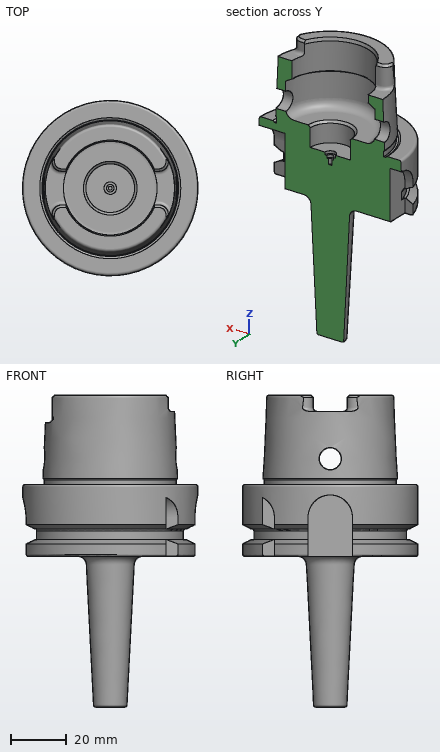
import cadquery as cq
import math

TOTAL_HEIGHT = 112.0

FLANGE_RADIUS = 31.5
FLANGE_TOP = 80.0
FLANGE_BOTTOM = 54.1
FLANGE_TOP_ROUND = 1.0
FLANGE_BOTTOM_ROUND = 0.8

GROOVE_CENTER = 62.0
GROOVE_FLOOR_RADIUS = 27.4
GROOVE_LIP_RADIUS = 28.5
GROOVE_FLOOR_HEIGHT = 3.8
GROOVE_MOUTH_HEIGHT = 7.0
GROOVE_CORNER_ROUND = 0.7

SHANK_TOP_RADIUS = 22.8
SHANK_BASE_RADIUS = 24.2
SHANK_BASE = 82.1
SHANK_TOP_ROUND = 1.0
NECK_RADIUS = 23.7
NECK_TOP = 81.5
RELIEF_DEPTH = 0.6
RELIEF_FLOOR_RADIUS = 24.5
RELIEF_OUTER_RADIUS = 25.3

STEM_TIP_RADIUS = 6.0
STEM_TOP_RADIUS = 8.6
STEM_TOP = 51.2
STEM_FLARE_RADIUS = 11.6
STEM_TIP_ROUND = 0.9

BORE_RADIUS = 16.8
BORE_MOUTH_RADIUS = 17.2
BORE_MOUTH_DEPTH = 1.3
CLAMP_EDGE = 98.8
UNDERCUT_RADIUS = 19.7
CLAMP_ANGLE = 30.0
BORE_FLOOR = 82.7
BORE_FLOOR_ROUND = 3.8
POCKET_RADIUS = 8.7
POCKET_MOUTH_RADIUS = 9.6
POCKET_FLOOR = 73.9
CENTER_HOLE_STEPS = [(2.2, 72.8), (1.3, 71.7), (0.7, 69.4)]

SLOT_HALF_WIDTH = 6.0
SLOT_CORNER_RADIUS = 3.4
SLOT_REACH = 20.8
SLOT_FLOOR_ROUND = 1.3
SLOT_FLOOR_LEFT = 102.1
SLOT_FLOOR_RIGHT = 106.2
SLOT_EDGE_CHAMFER = 0.9
SLOT_START = 11.2
SLOT_FLARE_ANGLE = 32.0

CROSS_HOLE_RADIUS = 3.9
CROSS_HOLE_HEIGHT = 89.2

KEY_LEFT_RADIUS = 9.0
KEY_LEFT_CENTER = 66.4
KEY_LEFT_DISTANCE = 26.5
KEY_RIGHT_RADIUS = 8.0
KEY_RIGHT_CENTER = 68.2
KEY_RIGHT_DISTANCE = 20.0

NOTCH_DISTANCE = KEY_RIGHT_DISTANCE
FLAT_DIRECTION = 135.0
FLAT_DISTANCE = 29.8
FLAT_BOTTOM = 70.1
FLAT_HEIGHT = 6.2

CLEAR = 44.8
ARC_MID = 1 - math.sqrt(0.5)


def turned_body():
    """Revolved outline: stem, flange with groove, relief and shank."""
    flare = STEM_FLARE_RADIUS - STEM_TOP_RADIUS
    flare_mid = flare * ARC_MID
    floor_half = GROOVE_FLOOR_HEIGHT / 2
    mouth_half = GROOVE_MOUTH_HEIGHT / 2
    corner = GROOVE_CORNER_ROUND * ARC_MID
    tip = STEM_TIP_ROUND * ARC_MID
    low = FLANGE_BOTTOM_ROUND * ARC_MID
    high = FLANGE_TOP_ROUND * ARC_MID
    outline = (
        cq.Workplane("XZ")
        .moveTo(0, 0)
        .lineTo(STEM_TIP_RADIUS - STEM_TIP_ROUND, 0)
        .threePointArc((STEM_TIP_RADIUS - tip, tip), (STEM_TIP_RADIUS, STEM_TIP_ROUND))
        .lineTo(STEM_TOP_RADIUS, STEM_TOP)
        .threePointArc(
            (STEM_TOP_RADIUS + flare_mid, FLANGE_BOTTOM - flare_mid),
            (STEM_FLARE_RADIUS, FLANGE_BOTTOM),
        )
        .lineTo(FLANGE_RADIUS - FLANGE_BOTTOM_ROUND, FLANGE_BOTTOM)
        .threePointArc(
            (FLANGE_RADIUS - low, FLANGE_BOTTOM + low),
            (FLANGE_RADIUS, FLANGE_BOTTOM + FLANGE_BOTTOM_ROUND),
        )
        .lineTo(FLANGE_RADIUS, GROOVE_CENTER - mouth_half)
        .lineTo(GROOVE_LIP_RADIUS, GROOVE_CENTER - floor_half)
        .lineTo(GROOVE_FLOOR_RADIUS, GROOVE_CENTER - floor_half)
        .lineTo(GROOVE_FLOOR_RADIUS, GROOVE_CENTER + floor_half - GROOVE_CORNER_ROUND)
        .threePointArc(
            (GROOVE_FLOOR_RADIUS + corner, GROOVE_CENTER + floor_half - corner),
            (GROOVE_FLOOR_RADIUS + GROOVE_CORNER_ROUND, GROOVE_CENTER + floor_half),
        )
        .lineTo(GROOVE_LIP_RADIUS, GROOVE_CENTER + floor_half)
        .lineTo(FLANGE_RADIUS, GROOVE_CENTER + mouth_half)
        .lineTo(FLANGE_RADIUS, FLANGE_TOP - FLANGE_TOP_ROUND)
        .threePointArc(
            (FLANGE_RADIUS - high, FLANGE_TOP - high),
            (FLANGE_RADIUS - FLANGE_TOP_ROUND, FLANGE_TOP),
        )
        .lineTo(RELIEF_OUTER_RADIUS, FLANGE_TOP)
        .lineTo(RELIEF_FLOOR_RADIUS, FLANGE_TOP - RELIEF_DEPTH)
        .lineTo(NECK_RADIUS, FLANGE_TOP - RELIEF_DEPTH)
        .lineTo(NECK_RADIUS, NECK_TOP)
        .lineTo(SHANK_BASE_RADIUS, SHANK_BASE)
        .lineTo(SHANK_TOP_RADIUS, TOTAL_HEIGHT)
        .lineTo(0, TOTAL_HEIGHT)
        .close()
    )
    body = outline.revolve(360, (0, 0, 0), (0, 1, 0))
    return body.faces(">Z").edges().fillet(SHANK_TOP_ROUND)


def clamping_bore():
    """Revolved cutter: mouth, undercut chamber, pocket and stepped center hole."""
    clamp_run = (UNDERCUT_RADIUS - BORE_RADIUS) * math.tan(math.radians(CLAMP_ANGLE))
    floor_mid = BORE_FLOOR_ROUND * ARC_MID
    outline = (
        cq.Workplane("XZ")
        .moveTo(0, TOTAL_HEIGHT)
        .lineTo(BORE_MOUTH_RADIUS, TOTAL_HEIGHT)
        .lineTo(BORE_RADIUS, TOTAL_HEIGHT - BORE_MOUTH_DEPTH)
        .lineTo(BORE_RADIUS, CLAMP_EDGE)
        .lineTo(UNDERCUT_RADIUS, CLAMP_EDGE - clamp_run)
        .lineTo(UNDERCUT_RADIUS, BORE_FLOOR + BORE_FLOOR_ROUND)
        .threePointArc(
            (UNDERCUT_RADIUS - floor_mid, BORE_FLOOR + floor_mid),
            (UNDERCUT_RADIUS - BORE_FLOOR_ROUND, BORE_FLOOR),
        )
        .lineTo(POCKET_MOUTH_RADIUS, BORE_FLOOR)
        .lineTo(POCKET_RADIUS, BORE_FLOOR - (POCKET_MOUTH_RADIUS - POCKET_RADIUS))
        .lineTo(POCKET_RADIUS, POCKET_FLOOR)
    )
    step_top = POCKET_FLOOR
    for step_radius, step_floor in CENTER_HOLE_STEPS:
        outline = outline.lineTo(step_radius, step_top).lineTo(step_radius, step_floor)
        step_top = step_floor
    return outline.lineTo(0, step_top).close().revolve(360, (0, 0, 0), (0, 1, 0))


def slot_plan(height):
    """Plan outline of a +X drive slot, flaring outward around the rounded wall ends."""
    corner_x = SLOT_REACH - SLOT_CORNER_RADIUS
    corner_y = SLOT_HALF_WIDTH + SLOT_CORNER_RADIUS
    flare = math.radians(SLOT_FLARE_ANGLE)
    flare_x = corner_x + SLOT_CORNER_RADIUS * math.cos(flare)
    flare_y = corner_y + SLOT_CORNER_RADIUS * math.sin(flare)
    return (
        cq.Workplane("XY", origin=(0, 0, height))
        .moveTo(SLOT_START, -SLOT_HALF_WIDTH)
        .lineTo(corner_x, -SLOT_HALF_WIDTH)
        .threePointArc((SLOT_REACH, -corner_y), (flare_x, -flare_y))
        .lineTo(CLEAR, -flare_y)
        .lineTo(CLEAR, flare_y)
        .lineTo(flare_x, flare_y)
        .threePointArc((SLOT_REACH, corner_y), (corner_x, SLOT_HALF_WIDTH))
        .lineTo(SLOT_START, SLOT_HALF_WIDTH)
        .close()
    )


def drive_slot(floor_height):
    """Cutter for a +X drive slot with a rounded floor edge and chamfered top edges."""
    slot = slot_plan(floor_height).extrude(TOTAL_HEIGHT - floor_height)
    slot = slot.faces("<Z").edges().fillet(SLOT_FLOOR_ROUND)
    chamfer_base = TOTAL_HEIGHT - SLOT_EDGE_CHAMFER
    return slot.union(slot_plan(chamfer_base).extrude(SLOT_EDGE_CHAMFER, taper=-45))


def keyway(radius, center_height, distance):
    """Cutter for a round-topped keyway on the +X side, open at the flange bottom."""
    return (
        cq.Workplane("YZ", origin=(distance, 0, 0))
        .moveTo(-radius, FLANGE_BOTTOM)
        .lineTo(-radius, center_height)
        .threePointArc((0, center_height + radius), (radius, center_height))
        .lineTo(radius, FLANGE_BOTTOM)
        .close()
        .extrude(CLEAR)
    )


def label_flat():
    """Cutter for the flat window on the (-X, +Y) diagonal."""
    return (
        cq.Workplane("XY")
        .box(CLEAR, CLEAR, FLAT_HEIGHT, centered=(False, True, False))
        .translate((FLAT_DISTANCE, 0, FLAT_BOTTOM))
        .rotate((0, 0, 0), (0, 0, 1), FLAT_DIRECTION)
    )


def cross_hole():
    """Cutter for the round hole through both shank walls along X."""
    return (
        cq.Workplane("YZ", origin=(-CLEAR, 0, CROSS_HOLE_HEIGHT))
        .circle(CROSS_HOLE_RADIUS)
        .extrude(2 * CLEAR)
    )


def corner_notch():
    """Cutter for the notch that removes a square corner of the flange at +X, -Y."""
    notch_center = -NOTCH_DISTANCE - KEY_RIGHT_RADIUS
    notch = keyway(KEY_RIGHT_RADIUS, KEY_RIGHT_CENTER, NOTCH_DISTANCE)
    return notch.translate((0, notch_center, 0))


def turned_to_left(cutter):
    """The same cutter turned half a turn about Z, from +X to -X."""
    return cutter.rotate((0, 0, 0), (0, 0, 1), 180)


result = (
    turned_body()
    .cut(drive_slot(SLOT_FLOOR_RIGHT))
    .cut(turned_to_left(drive_slot(SLOT_FLOOR_LEFT)))
    .cut(clamping_bore())
    .cut(cross_hole())
    .cut(keyway(KEY_RIGHT_RADIUS, KEY_RIGHT_CENTER, KEY_RIGHT_DISTANCE))
    .cut(turned_to_left(keyway(KEY_LEFT_RADIUS, KEY_LEFT_CENTER, KEY_LEFT_DISTANCE)))
    .cut(corner_notch())
    .cut(label_flat())
)